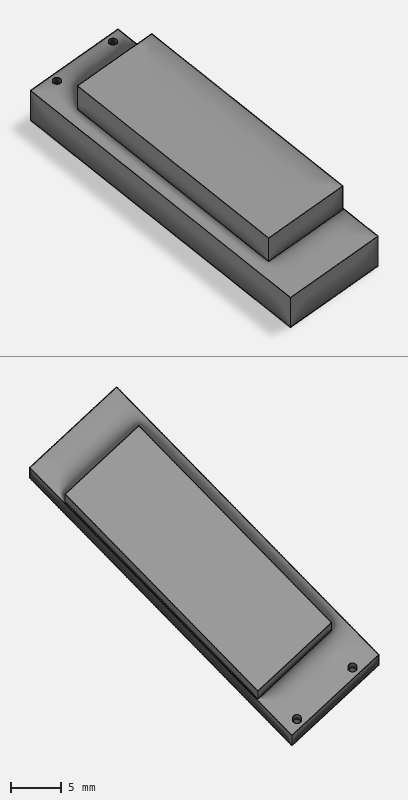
import cadquery as cq

base_length = 38.0
base_width = 12.0
base_height = 4.5

total_height = 8.0
block_length = 27.93
block_width = 10.2
block_end_inset = 5.05
block_back_inset = 0.1

hole_diameter = 0.9
hole_depth = 2.0
hole_end_inset = 0.87
hole_back_inset = 1.52
hole_spacing = 7.68

block_height = total_height - base_height
block_front = base_width - block_back_inset - block_width
back_hole_y = base_width - hole_back_inset
hole_centers = [
    (hole_end_inset, back_hole_y),
    (hole_end_inset, back_hole_y - hole_spacing),
]

base = cq.Workplane("XY").box(base_length, base_width, base_height, centered=False)

block = (
    cq.Workplane("XY", origin=(block_end_inset, block_front, base_height))
    .box(block_length, block_width, block_height, centered=False)
)

holes = (
    cq.Workplane("XY", origin=(0, 0, base_height))
    .pushPoints(hole_centers)
    .circle(hole_diameter / 2)
    .extrude(-hole_depth)
)

result = base.union(block).cut(holes)